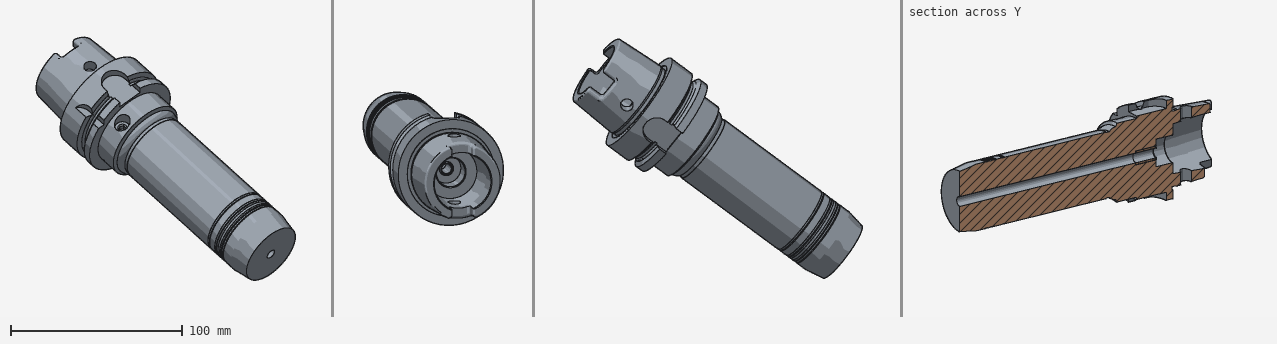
import cadquery as cq
import math


LENGTH = 182.0
FLANGE_RADIUS = 31.5

NOSE_RADIUS = 22.5
TAPER_RADIUS = 24.2
TAPER_END = 29.1
NOSE_FILLET = 1.1
NECK_RADIUS = 23.8
NECK_START = 30.2

FLANGE_START = 31.8
FLANGE_END = 57.9
FACE_RECESS_RADIUS = 26.0
FACE_RECESS_DEPTH = 0.5
GROOVE_FLOOR_RADIUS = 27.3
GROOVE_START = 46.8
GROOVE_END = 53.1
GROOVE_FLOOR_START = 49.0
GROOVE_FLOOR_END = 50.6
GROOVE_BEND_RADIUS = 28.8
GROOVE_BEND_OFFSET = 1.1
GROOVE_BEND_SAG = 0.2

SHANK_RADIUS = 25.0
SHANK_END = 71.3
SHANK_CHAMFER_END = 72.5
SHANK_CHAMFER_RADIUS = 23.0
RELIEF_RADIUS = 20.7
RELIEF_START = 76.8
RELIEF_END = 79.0
HOLLOW_SAG = 0.5
BARREL_RADIUS = 21.1
BARREL_END = 170.7
TIP_RADIUS = 19.1
RING_DEPTH = 0.2
RING_GROOVES = [
    (150.3, 152.0, 0.0, 0.5),
    (156.3, 158.0, 0.0, 0.5),
    (159.0, 160.7, 0.0, 0.0),
    (161.8, 164.0, 0.5, 0.5),
]

MOUTH_RADIUS = 17.5
MOUTH_CHAMFER = 0.5
CLAMP_BORE_RADIUS = MOUTH_RADIUS - MOUTH_CHAMFER
CLAMP_BORE_END = 12.7
FLOOR_RADIUS = 15.5
FLOOR_X = 31.8
TUBE_BORE_RADIUS = 8.5
TUBE_BORE_CHAMFER = 0.5
TUBE_BORE_END = 43.7
PASSAGE_RADIUS = 3.0

AXIAL_SCREW_RADIUS = 4.2
AXIAL_SCREW_LENGTH = 14.5
AXIAL_SCREW_CHAMFER = 0.7
AXIAL_SCREW_END = TUBE_BORE_END + AXIAL_SCREW_LENGTH

DRIVE_SLOT_WIDTH = 12.5
UPPER_SLOT_DEPTH = 5.6
LOWER_SLOT_DEPTH = 9.5
DRIVE_SLOT_CORNER = 1.6
DRIVE_SLOT_EDGE_ROUND = 1.8
EDGE_MARGIN = 0.2

CROSS_HOLE_X = 22.8
CROSS_HOLE_RADIUS = 3.6

KEYWAY_WIDTH = 15.8
KEYWAY_START = 36.8
KEYWAY_FLOOR = 26.4
NOTCH_FLOOR = 19.8
NOTCH_WALL_Y = -20.2

SIDE_SCREW_X = 64.8
SIDE_SCREW_Y = -12.0
SIDE_SCREW_RADIUS = 4.5
SIDE_SCREW_TOP = 16.4
SIDE_SCREW_LENGTH = 9.1
SOCKET_MOUTH_RADIUS = 2.7
SOCKET_RADIUS = 2.2
SOCKET_DEPTH = 3.6
SOCKET_TIP_DEPTH = 1.3


def revolve_about_x(profile):
    """Turn a closed (X, radius) wire drawn on the XY plane about the X axis."""
    return profile.close().revolve(360, (0, 0, 0), (1, 0, 0))


def cylinder_x(radius, start, end):
    return cq.Workplane("YZ", origin=(start, 0, 0)).circle(radius).extrude(end - start)


def turned_blank():
    profile = (
        cq.Workplane("XY")
        .lineTo(0, NOSE_RADIUS)
        .lineTo(TAPER_END, TAPER_RADIUS)
        .lineTo(NECK_START, NECK_RADIUS)
        .lineTo(FLANGE_START + FACE_RECESS_DEPTH, NECK_RADIUS)
        .lineTo(FLANGE_START + FACE_RECESS_DEPTH, FACE_RECESS_RADIUS)
        .lineTo(FLANGE_START, FACE_RECESS_RADIUS)
        .lineTo(FLANGE_START, FLANGE_RADIUS)
        .lineTo(GROOVE_START, FLANGE_RADIUS)
        .lineTo(GROOVE_FLOOR_START - GROOVE_BEND_OFFSET, GROOVE_BEND_RADIUS)
        .sagittaArc((GROOVE_FLOOR_START, GROOVE_FLOOR_RADIUS), GROOVE_BEND_SAG)
        .lineTo(GROOVE_FLOOR_END, GROOVE_FLOOR_RADIUS)
        .sagittaArc((GROOVE_FLOOR_END + GROOVE_BEND_OFFSET, GROOVE_BEND_RADIUS), GROOVE_BEND_SAG)
        .lineTo(GROOVE_END, FLANGE_RADIUS)
        .lineTo(FLANGE_END, FLANGE_RADIUS)
        .lineTo(FLANGE_END, SHANK_RADIUS)
        .lineTo(SHANK_END, SHANK_RADIUS)
        .lineTo(SHANK_CHAMFER_END, SHANK_CHAMFER_RADIUS)
        .sagittaArc((RELIEF_START, RELIEF_RADIUS), HOLLOW_SAG)
        .lineTo(RELIEF_END, RELIEF_RADIUS)
        .lineTo(RELIEF_END, BARREL_RADIUS)
        .lineTo(BARREL_END, BARREL_RADIUS)
        .lineTo(LENGTH, TIP_RADIUS)
        .lineTo(LENGTH, 0)
    )
    return revolve_about_x(profile)


def ring_groove(start, end, rear_run, front_run):
    floor = BARREL_RADIUS - RING_DEPTH
    outside = BARREL_RADIUS + RING_DEPTH
    profile = (
        cq.Workplane("XY")
        .moveTo(start, outside)
        .lineTo(start, BARREL_RADIUS)
        .lineTo(start + rear_run, floor)
        .lineTo(end - front_run, floor)
        .lineTo(end, BARREL_RADIUS)
        .lineTo(end, outside)
    )
    return revolve_about_x(profile)


def axial_bores():
    """Clamping bore, tube bore, seat of the axial screw and the passage to the tip."""
    profile = (
        cq.Workplane("XY")
        .lineTo(0, MOUTH_RADIUS)
        .lineTo(MOUTH_CHAMFER, CLAMP_BORE_RADIUS)
        .lineTo(CLAMP_BORE_END, CLAMP_BORE_RADIUS)
        .lineTo(FLOOR_X, FLOOR_RADIUS)
        .lineTo(FLOOR_X, TUBE_BORE_RADIUS + TUBE_BORE_CHAMFER)
        .lineTo(FLOOR_X + TUBE_BORE_CHAMFER, TUBE_BORE_RADIUS)
        .lineTo(TUBE_BORE_END, TUBE_BORE_RADIUS)
        .lineTo(TUBE_BORE_END, AXIAL_SCREW_RADIUS)
        .lineTo(AXIAL_SCREW_END, AXIAL_SCREW_RADIUS)
        .lineTo(AXIAL_SCREW_END, PASSAGE_RADIUS)
        .lineTo(LENGTH, PASSAGE_RADIUS)
        .lineTo(LENGTH, 0)
    )
    return revolve_about_x(profile)


def drive_slot(depth, side):
    """Slot open at the nose, on the +Z (side = 1) or -Z (side = -1) wall of the taper."""
    return (
        cq.Workplane("XY")
        .rect(2 * depth, DRIVE_SLOT_WIDTH)
        .extrude(side * FLANGE_RADIUS)
        .edges("|Z")
        .fillet(DRIVE_SLOT_CORNER)
    )


def slot_edges(body, side):
    """Edges where the drive slot on one side breaks through the outside of the taper."""
    near_corner = cq.Vector(EDGE_MARGIN, -DRIVE_SLOT_WIDTH / 2 - EDGE_MARGIN, side * CLAMP_BORE_RADIUS)
    far_corner = cq.Vector(
        LOWER_SLOT_DEPTH + EDGE_MARGIN,
        DRIVE_SLOT_WIDTH / 2 + EDGE_MARGIN,
        side * FLANGE_RADIUS,
    )
    return body.edges(cq.selectors.BoxSelector(near_corner, far_corner))


def slotted_blank():
    """Solid blank with both drive slots, its slot edges and the outline of its nose face rounded."""
    body = turned_blank()
    for depth, side in ((UPPER_SLOT_DEPTH, 1), (LOWER_SLOT_DEPTH, -1)):
        body = body.cut(drive_slot(depth, side))
    body = slot_edges(body, 1).add(slot_edges(body, -1)).fillet(DRIVE_SLOT_EDGE_ROUND)
    return body.faces("<X").edges().fillet(NOSE_FILLET)


def keyway(center_y, floor, side):
    """Round-ended keyway with a flat floor, open at the front face of the flange."""
    end_radius = KEYWAY_WIDTH / 2
    arc_center = KEYWAY_START + end_radius
    return (
        cq.Workplane("XY", origin=(0, center_y, side * floor))
        .moveTo(FLANGE_END, end_radius)
        .lineTo(arc_center, end_radius)
        .threePointArc((KEYWAY_START, 0), (arc_center, -end_radius))
        .lineTo(FLANGE_END, -end_radius)
        .close()
        .extrude(side * FLANGE_RADIUS)
    )


def side_screw_blank(top):
    """Cylinder on the side screw's axis, from the bottom of its hole up to the given height."""
    bottom = SIDE_SCREW_TOP - SIDE_SCREW_LENGTH
    origin = (SIDE_SCREW_X, SIDE_SCREW_Y, bottom)
    return cq.Workplane("XY", origin=origin).circle(SIDE_SCREW_RADIUS).extrude(top - bottom)


def make_housing():
    body = slotted_blank().cut(axial_bores())
    for groove in RING_GROOVES:
        body = body.cut(ring_groove(*groove))
    cross_hole = (
        cq.Workplane("XY", origin=(CROSS_HOLE_X, 0, 0))
        .circle(CROSS_HOLE_RADIUS)
        .extrude(FLANGE_RADIUS, both=True)
    )
    body = body.cut(cross_hole)
    for side in (1, -1):
        body = body.cut(keyway(0, KEYWAY_FLOOR, side))
    body = body.cut(keyway(NOTCH_WALL_Y - KEYWAY_WIDTH / 2, NOTCH_FLOOR, 1))
    return body.cut(side_screw_blank(FLANGE_RADIUS))


def make_axial_screw():
    screw = cylinder_x(AXIAL_SCREW_RADIUS, TUBE_BORE_END, AXIAL_SCREW_END)
    screw = screw.faces("<X").edges().chamfer(AXIAL_SCREW_CHAMFER)
    return screw.cut(cylinder_x(PASSAGE_RADIUS, TUBE_BORE_END, AXIAL_SCREW_END))


def make_side_screw():
    screw = side_screw_blank(SIDE_SCREW_TOP)
    top_plane = cq.Workplane("XY", origin=(SIDE_SCREW_X, SIDE_SCREW_Y, SIDE_SCREW_TOP))
    hexagon = top_plane.polygon(6, 2 * SOCKET_RADIUS).extrude(-SOCKET_DEPTH)
    axis = cq.Vector(SIDE_SCREW_X, SIDE_SCREW_Y, SIDE_SCREW_TOP)
    down = cq.Vector(0, 0, -1)
    mouth = cq.Solid.makeCone(SOCKET_MOUTH_RADIUS, 0, SOCKET_MOUTH_RADIUS, axis, down)
    flat_radius = SOCKET_RADIUS * math.cos(math.pi / 6)
    tip = cq.Solid.makeCone(flat_radius, 0, SOCKET_TIP_DEPTH, axis + down * SOCKET_DEPTH, down)
    return screw.cut(hexagon).cut(cq.Workplane(mouth)).cut(cq.Workplane(tip))


housing = make_housing()
axial_screw = make_axial_screw()
side_screw = make_side_screw()

result = cq.Compound.makeCompound([housing.val(), axial_screw.val(), side_screw.val()])